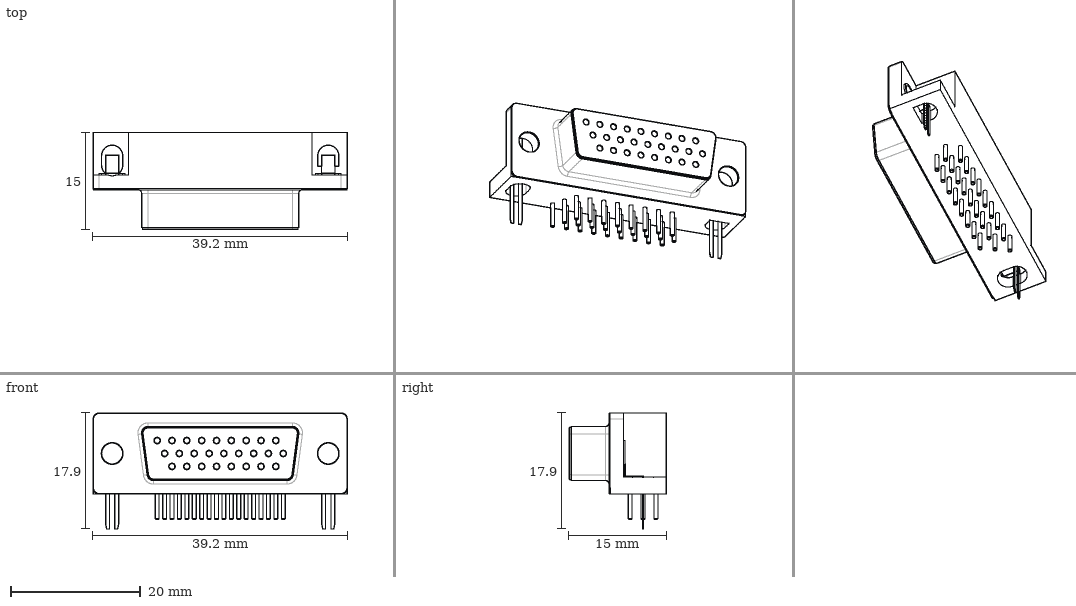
import cadquery as cq
import math


length = 39.2
height = 12.5
flange_back = 2.27
plate_thickness = 0.25
corner_radius = 0.95
plate_bevel_depth = 0.2
plate_bevel_width = 0.08
housing_width = 28.3
housing_back = 8.85
ledge_height = 2.63
mid_height = height / 2

shell_reach = 6.15
shell_height = 8.35
shell_mid_width = 23.45
shell_side_angle = 7.6
shell_corner_radius = 1.0
shell_root_fillet = 0.55
insert_reach = 0.35
insert_step = 0.1
insert_chamfer = 0.1

full_row_count = 9
full_row_length = 18.3
contact_pitch = full_row_length / (full_row_count - 1)
row_spacing = 2.0
socket_diameter = 0.85
socket_mouth_diameter = 1.0
mouth_angle = 45
socket_depth = 2.35
pin_diameter = 0.63
pin_length = 3.92
pin_tip_chamfer = 0.1
first_contact_x = -(full_row_count - 0.5) / 2 * contact_pitch
pin_row_middle = 5.25
contact_rows = [
    (full_row_count, 0.0, row_spacing, pin_row_middle + row_spacing),
    (full_row_count, 0.5, 0.0, pin_row_middle),
    (full_row_count - 1, 1.0, -row_spacing, pin_row_middle - row_spacing),
]

mount_x = 16.65
mount_hole_diameter = 3.2
plate_hole_diameter = 3.37
slot_width = 3.2
slot_back = 6.85
left_slot_front = 2.15
right_slot_front = 3.65

clip_ring_diameter = 4.0
clip_ring_thickness = 0.25
clip_strap_width = 2.05
clip_thickness = 0.15
clip_back = pin_row_middle + clip_thickness / 2
prong_width = 0.63
prong_drop = 5.4
prong_taper_height = 0.8
prong_taper = 0.15

overlap = 0.08


def box(x_min, x_max, y_min, y_max, z_min, z_max):
    """Axis-aligned box between the given limits."""
    return cq.Workplane("XY").box(
        x_max - x_min, y_max - y_min, z_max - z_min, centered=False
    ).translate((x_min, y_min, z_min))


def cylinder_along_y(diameter, x, z, y_min, y_max):
    """Round bar along Y."""
    return cq.Workplane("XZ", origin=(x, y_min, z)).circle(diameter / 2).extrude(y_min - y_max)


def make_housing():
    """Front plate with four round corners, flange with round top corners, rear block and side ledges."""
    half = length / 2
    plate = box(-half, half, 0, plate_thickness, 0, height)
    plate = plate.edges("|Y").fillet(corner_radius)
    plate = plate.faces("<Y").edges().chamfer(plate_bevel_width, plate_bevel_depth)
    flange = box(-half, half, plate_thickness, flange_back, 0, height)
    flange = flange.edges("|Y and >Z").fillet(corner_radius)
    block = box(-housing_width / 2, housing_width / 2, plate_thickness, housing_back, 0, height)
    ledges = box(-half, half, plate_thickness, housing_back, 0, ledge_height)
    return flange.union(plate).union(block).union(ledges)


def make_shell():
    """D-shaped metal shell with the slightly smaller, chamfered contact insert standing out of its front."""
    lean = shell_height / 2 * math.tan(math.radians(shell_side_angle))
    top_half = shell_mid_width / 2 + lean
    bottom_half = shell_mid_width / 2 - lean
    top = mid_height + shell_height / 2
    bottom = mid_height - shell_height / 2
    corners = [(-top_half, top), (top_half, top), (bottom_half, bottom), (-bottom_half, bottom)]
    shell = cq.Workplane("XZ").polyline(corners).close().extrude(shell_reach - insert_reach)
    shell = shell.edges("|Y").fillet(shell_corner_radius)
    insert = shell.faces("<Y").wires().toPending().offset2D(-insert_step)
    insert = insert.extrude(insert_reach, combine=False)
    insert = insert.faces("<Y").edges().chamfer(insert_chamfer)
    return shell.union(insert)


def fillet_shell_root(body):
    """Blend the shell into the front plate."""
    half_width = shell_mid_width / 2 + 2 * shell_root_fillet
    half_height = shell_height / 2 + shell_root_fillet
    near_shell = cq.selectors.BoxSelector(
        (-half_width, -overlap, mid_height - half_height),
        (half_width, overlap, mid_height + half_height),
    )
    return body.edges(near_shell).fillet(shell_root_fillet)


def contact_positions(count, pitch_offset):
    """X positions of the contacts of one row."""
    return [first_contact_x + (pitch_offset + i) * contact_pitch for i in range(count)]


def make_sockets():
    """Blind contact holes in the shell face, each with a conical mouth."""
    mouth_depth = (socket_mouth_diameter - socket_diameter) / 2 / math.tan(math.radians(mouth_angle))
    points = []
    for count, pitch_offset, row_z, _ in contact_rows:
        points += [(x, mid_height + row_z) for x in contact_positions(count, pitch_offset)]
    face = cq.Workplane("XZ", origin=(0, -shell_reach, 0)).pushPoints(points)
    bores = face.circle(socket_diameter / 2).extrude(-socket_depth)
    mouths = face.circle(socket_mouth_diameter / 2).extrude(-mouth_depth, taper=mouth_angle)
    return bores.union(mouths)


def make_pins():
    """Board pins with chamfered tips, three rows under the housing."""
    points = []
    for count, pitch_offset, _, row_y in contact_rows:
        points += [(x, row_y) for x in contact_positions(count, pitch_offset)]
    pins = cq.Workplane("XY", origin=(0, 0, overlap)).pushPoints(points)
    pins = pins.circle(pin_diameter / 2).extrude(-pin_length - overlap)
    return pins.faces("<Z").edges().chamfer(pin_tip_chamfer)


def make_left_slot():
    """Slot with two round ends; it also grooves the back of the flange."""
    middle = (left_slot_front + slot_back) / 2
    slot = cq.Workplane("XY", origin=(-mount_x, middle, 0))
    return slot.slot2D(slot_back - left_slot_front, slot_width, 90).extrude(height)


def make_right_slot():
    """Slot with a round rear end and a square front end."""
    round_centre = slot_back - slot_width / 2
    half = slot_width / 2
    slot = box(mount_x - half, mount_x + half, right_slot_front, round_centre, 0, height)
    end = cq.Workplane("XY", origin=(mount_x, round_centre, 0)).circle(half).extrude(height)
    return slot.union(end)


def make_clip(x):
    """Board lock: ring behind the flange, bent strap along the ledge, two prongs down through the slot."""
    half = clip_strap_width / 2
    ring_back = flange_back + clip_ring_thickness
    strap_top = ledge_height + clip_thickness
    strap_front = ring_back - clip_thickness / 2
    strap_back = strap_front + clip_thickness
    hole_bottom = mid_height - mount_hole_diameter / 2
    ring = cylinder_along_y(clip_ring_diameter, x, mid_height, flange_back - 2 * overlap, ring_back)
    upright = box(x - half, x + half, strap_front, strap_back, ledge_height, hole_bottom)
    strap = box(x - half, x + half, strap_front, clip_back, ledge_height, strap_top)
    clip = ring.union(upright).union(strap)
    for side in (-1, 1):
        outer = x + side * half
        inner = outer - side * prong_width
        prong = (
            cq.Workplane("XZ", origin=(0, clip_back, 0))
            .moveTo(outer, strap_top)
            .lineTo(outer, prong_taper_height - prong_drop)
            .lineTo(outer - side * prong_taper, -prong_drop)
            .lineTo(inner, -prong_drop)
            .lineTo(inner, strap_top)
            .close()
            .extrude(clip_thickness)
        )
        clip = clip.union(prong)
    return clip


body = fillet_shell_root(make_housing().union(make_shell()))
body = body.cut(make_left_slot()).cut(make_right_slot())
body = body.cut(make_sockets()).union(make_pins())
for x in (-mount_x, mount_x):
    body = body.union(make_clip(x))
    body = body.cut(cylinder_along_y(mount_hole_diameter, x, mid_height, -overlap, housing_back))
    body = body.cut(cylinder_along_y(plate_hole_diameter, x, mid_height, -overlap, plate_thickness))

result = body